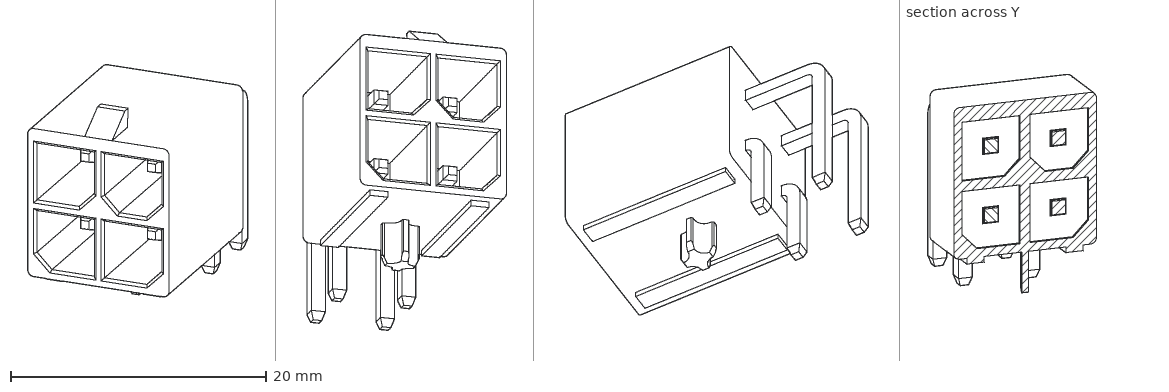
import cadquery as cq
import math


HOUSING_WIDTH = 12.05
HOUSING_LENGTH = 14.79
HOUSING_HEIGHT = 12.48
HOUSING_CORNER_RADIUS = 0.53

PITCH = 5.68
COLUMN_X = (-PITCH / 2, PITCH / 2)
LOWER_ROW_Z = 3.33
ROW_Z = (LOWER_ROW_Z, LOWER_ROW_Z + PITCH)

CAVITY_WIDTH = 5.3
CAVITY_HEIGHT = 5.22
CAVITY_CORNER_CUT = 1.4
CAVITY_OFFSET_X = 0.033
CAVITY_OFFSET_Z = -0.2
CAVITY_DEPTH = 9.87
CAVITY_LEAD_IN_WIDTH = 0.22
CAVITY_LEAD_IN_DEPTH = 0.22

PIN_SIZE = 1.16
PIN_TIP_SIZE = 0.7
PIN_TIP_LENGTH = 0.68
PIN_FRONT_Y = 3.95
PIN_BEND_INNER_RADIUS = 0.48
PIN_BEND_OUTER_RADIUS = PIN_BEND_INNER_RADIUS + PIN_SIZE
PIN_BOTTOM_Z = -4.08
UPPER_PIN_BACK_Y = 21.95
LOWER_PIN_BACK_Y = HOUSING_LENGTH + PIN_BEND_OUTER_RADIUS
PIN_BACK_Y = (LOWER_PIN_BACK_Y, UPPER_PIN_BACK_Y)

PIN_HOLE_LEAD_IN = 0.09

LATCH_WIDTH = 2.33
LATCH_HEIGHT = 1.55
LATCH_CREST_FRONT_Y = 2.59
LATCH_CREST_BACK_Y = 3.25
LATCH_BASE_BACK_Y = 3.07

STRIP_OUTER_X = 4.9
STRIP_WIDTH = 1.47
STRIP_HEIGHT = 0.45
STRIP_FRONT_Y = 0.99
STRIP_BACK_Y = HOUSING_LENGTH - STRIP_FRONT_Y

PEG_Y = 8.58
PEG_LENGTH = 3.33
PEG_SPAN = 3.03
PEG_ARM_WIDTH = 0.6
PEG_FILLET_RADIUS = 0.88
PEG_ARM_END_SETBACK = 0.143
PEG_ARM_END_INSET = 0.09
PEG_TAPER_LENGTH = 0.72
PEG_TIP_SPAN = 2.33


def mating_plane(x, y, z):
    """Sketch plane facing +Y, with local x along +X and local y along -Z."""
    return cq.Plane(origin=(x, y, z), xDir=(1, 0, 0), normal=(0, 1, 0))


def square_frustum(plane, start_size, end_size, length):
    """Square solid that changes evenly from start_size to end_size along the plane normal."""
    return (
        cq.Workplane(plane)
        .rect(start_size, start_size)
        .workplane(offset=length)
        .rect(end_size, end_size)
        .loft(ruled=True)
    )


def cavity_outline(x, y, z, cut_left, cut_right, inset):
    """Rectangle with its chosen lower corners cut at 45 degrees, drawn inset from the mouth size."""
    half_width = CAVITY_WIDTH / 2 - inset
    half_height = CAVITY_HEIGHT / 2 - inset
    cut = CAVITY_CORNER_CUT - inset * (2 - math.sqrt(2))
    points = [(-half_width, -half_height), (half_width, -half_height)]
    if cut_right:
        points += [(half_width, half_height - cut), (half_width - cut, half_height)]
    else:
        points += [(half_width, half_height)]
    if cut_left:
        points += [(-half_width + cut, half_height), (-half_width, half_height - cut)]
    else:
        points += [(-half_width, half_height)]
    return cq.Workplane(mating_plane(x, y, z)).polyline(points).close()


def make_cavity(column, row, cut_left, cut_right):
    """Volume of one cavity: straight pocket plus the flared lead-in at its mouth."""
    side = math.copysign(1, COLUMN_X[column])
    x = COLUMN_X[column] + side * CAVITY_OFFSET_X
    z = ROW_Z[row] + CAVITY_OFFSET_Z
    pocket = cavity_outline(x, 0, z, cut_left, cut_right, CAVITY_LEAD_IN_WIDTH).extrude(CAVITY_DEPTH)
    mouth = cavity_outline(x, 0, z, cut_left, cut_right, 0).val()
    throat = cavity_outline(
        x, CAVITY_LEAD_IN_DEPTH, z, cut_left, cut_right, CAVITY_LEAD_IN_WIDTH
    ).val()
    lead_in = cq.Solid.makeLoft([mouth, throat], True)
    return pocket.union(cq.Workplane(lead_in))


def make_pin_hole(x, z):
    """Square hole from the cavity floor to the rear face, with a chamfered mouth."""
    floor = mating_plane(x, CAVITY_DEPTH, z)
    hole = cq.Workplane(floor).rect(PIN_SIZE, PIN_SIZE).extrude(HOUSING_LENGTH - CAVITY_DEPTH)
    mouth_size = PIN_SIZE + 2 * PIN_HOLE_LEAD_IN
    return hole.union(square_frustum(floor, mouth_size, PIN_SIZE, PIN_HOLE_LEAD_IN))


def make_latch():
    """Ramp that rises from the mating face to a short crest with an undercut back."""
    outline = [
        (0, HOUSING_HEIGHT),
        (LATCH_CREST_FRONT_Y, HOUSING_HEIGHT + LATCH_HEIGHT),
        (LATCH_CREST_BACK_Y, HOUSING_HEIGHT + LATCH_HEIGHT),
        (LATCH_BASE_BACK_Y, HOUSING_HEIGHT),
    ]
    return cq.Workplane("YZ").polyline(outline).close().extrude(LATCH_WIDTH / 2, both=True)


def make_strip(side):
    """Standoff strip on the left (side = -1) or right (side = 1) of the underside."""
    return (
        cq.Workplane("XY")
        .center(side * (STRIP_OUTER_X - STRIP_WIDTH / 2), (STRIP_FRONT_Y + STRIP_BACK_Y) / 2)
        .rect(STRIP_WIDTH, STRIP_BACK_Y - STRIP_FRONT_Y)
        .extrude(-STRIP_HEIGHT)
    )


def make_peg():
    """Cross with hollow-rounded inner corners, chamfered arm ends and a tapered tip."""
    half_span = PEG_SPAN / 2
    half_arm = PEG_ARM_WIDTH / 2
    half_end = half_arm - PEG_ARM_END_INSET
    shoulder = half_span - PEG_ARM_END_SETBACK
    arm_outline = [
        (-shoulder, -half_arm),
        (shoulder, -half_arm),
        (half_span, -half_end),
        (half_span, half_end),
        (shoulder, half_arm),
        (-shoulder, half_arm),
        (-half_span, half_end),
        (-half_span, -half_end),
    ]
    base = cq.Workplane("XY").center(0, PEG_Y)
    bar = base.polyline(arm_outline).close().extrude(-PEG_LENGTH)
    cross = bar.union(bar.rotate((0, PEG_Y, 0), (0, PEG_Y, 1), 90))
    crossing = cq.selectors.BoxSelector(
        (-PEG_ARM_WIDTH, PEG_Y - PEG_ARM_WIDTH, -PEG_LENGTH),
        (PEG_ARM_WIDTH, PEG_Y + PEG_ARM_WIDTH, 0),
    )
    cross = cross.edges("|Z").edges(crossing).fillet(PEG_FILLET_RADIUS)

    shank_length = PEG_LENGTH - PEG_TAPER_LENGTH
    envelope = base.rect(PEG_SPAN, PEG_SPAN).extrude(-shank_length)
    taper_plane = cq.Plane(origin=(0, PEG_Y, -shank_length), xDir=(1, 0, 0), normal=(0, 0, -1))
    envelope = envelope.union(square_frustum(taper_plane, PEG_SPAN, PEG_TIP_SPAN, PEG_TAPER_LENGTH))
    return cross.intersect(envelope)


def make_housing():
    block = (
        cq.Workplane(mating_plane(0, 0, HOUSING_HEIGHT / 2))
        .rect(HOUSING_WIDTH, HOUSING_HEIGHT)
        .extrude(HOUSING_LENGTH)
        .edges("|Y")
        .fillet(HOUSING_CORNER_RADIUS)
    )
    body = block.union(make_latch()).union(make_peg())
    for side in (-1, 1):
        body = body.union(make_strip(side))

    keying = [
        (0, 0, True, False),
        (1, 0, False, True),
        (0, 1, False, True),
        (1, 1, True, True),
    ]
    for column, row, cut_left, cut_right in keying:
        body = body.cut(make_cavity(column, row, cut_left, cut_right))
        body = body.cut(make_pin_hole(COLUMN_X[column], ROW_Z[row]))
    return body


def make_pin(x, z, back_y):
    """Square pin: straight contact along Y, 90 degree bend, leg down to the board, both tips tapered."""
    top = z + PIN_SIZE / 2
    under = z - PIN_SIZE / 2
    front = PIN_FRONT_Y + PIN_TIP_LENGTH
    bottom = PIN_BOTTOM_Z + PIN_TIP_LENGTH
    leg_front_y = back_y - PIN_SIZE
    bend_y = back_y - PIN_BEND_OUTER_RADIUS
    bend_z = top - PIN_BEND_OUTER_RADIUS
    slant = math.sqrt(0.5)
    outer_mid = PIN_BEND_OUTER_RADIUS * slant
    inner_mid = PIN_BEND_INNER_RADIUS * slant
    bent_bar = (
        cq.Workplane("YZ", origin=(x, 0, 0))
        .moveTo(front, top)
        .lineTo(bend_y, top)
        .threePointArc((bend_y + outer_mid, bend_z + outer_mid), (back_y, bend_z))
        .lineTo(back_y, bottom)
        .lineTo(leg_front_y, bottom)
        .lineTo(leg_front_y, bend_z)
        .threePointArc((bend_y + inner_mid, bend_z + inner_mid), (bend_y, under))
        .lineTo(front, under)
        .close()
        .extrude(PIN_SIZE / 2, both=True)
    )
    contact_plane = cq.Plane(origin=(x, front, z), xDir=(1, 0, 0), normal=(0, -1, 0))
    leg_plane = cq.Plane(
        origin=(x, back_y - PIN_SIZE / 2, bottom), xDir=(1, 0, 0), normal=(0, 0, -1)
    )
    for plane in (contact_plane, leg_plane):
        bent_bar = bent_bar.union(square_frustum(plane, PIN_SIZE, PIN_TIP_SIZE, PIN_TIP_LENGTH))
    return bent_bar


housing = make_housing()
pins = [make_pin(x, z, back_y) for z, back_y in zip(ROW_Z, PIN_BACK_Y) for x in COLUMN_X]

result = cq.Compound.makeCompound([housing.solids().val(), *[pin.solids().val() for pin in pins]])